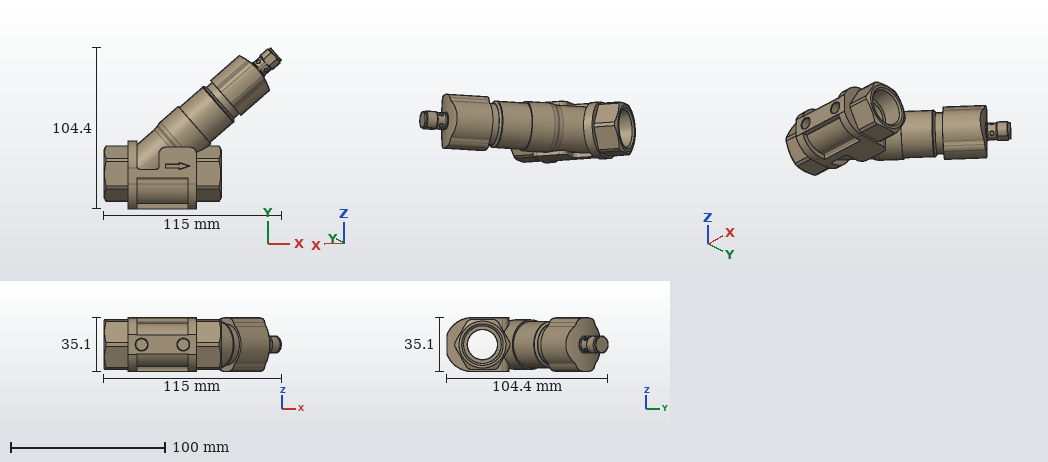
import cadquery as cq
import math


clearance = 1.1

length = 76.2
hex_flats = 32.2
hex_corner_radius = 17.9
hex_face_radius = 15.2
hex_chamfer = 1.5
bore_radius = 19.4 / 2
thread_radius = 12.2
thread_depth = 13.8
thread_mouth_radius = 13.5
thread_chamfer = 1.1

body_start = 15.6
body_end = 60.0
body_half_height = 35.1 / 2
body_bottom = -23.0
lower_round_y = -6.7
upper_round_y = 3.7
flange_end = 21.6
web_top = 2.9
plate_start = 35.8
plate_top = 17.1
plate_corner_radius = 4.3
pocket_corner_radius = 1.7

recess_end = 54.5
recess_top = -2.9
recess_radius = 14.0
recess_fillet = 1.0
foot_half_width = 6.2

mount_hole_x = (24.5, 51.5)
mount_hole_radius = 3.8
mount_hole_chamfer = 0.3
mount_hole_depth = 9.2

arrow_y = 5.0
arrow_tail_x = 39.9
arrow_neck_x = 48.9
arrow_tip_x = 55.9
arrow_shaft_half_width = 1.4
arrow_head_half_width = 2.3
arrow_depth = 0.7
arrow_wall_draft = 18

barrel_x = 22.8
barrel_angle = 41.1
neck_radius = 15.0
neck_start = 1.1
socket_radius = 16.1
flare_start = 26.3
flare_slope_start = 29.0
flare_slope_start_radius = 15.4
flare_slope_end = 29.8
flare_slope_end_radius = 15.6
flare_end = 32.4
socket_end = 47.8
sleeve_radius = 15.1
sleeve_end = 67.8
lip_radius = 15.2
lip_end = 68.4
lip_chamfer_end = 69.8
lip_chamfer_radius = 13.7
collar_radius = 26.8 / 2

cap_start = 74.6
cap_apex = 102.3
cap_radius = 15.0
cap_dome_radius = 36.8
lobe_radius = body_half_height
lobe_half_width = 4.8
lobe_side_half_width = 7.6
lobe_side_height = 14.4
lobe_foot_half_width = 9.1

plug_rim_radius = 6.1
plug_rim_end = 102.7
plug_neck_radius = 10.9 / 2
plug_neck_start = 103.3
plug_neck_end = 108.8
plug_head_start = 109.5
plug_head_end = 116.0
plug_tip_radius = 5.3
plug_tip_start = 116.6
plug_end = 117.7
plug_flats = 10.8
dimple_position = 106.0
dimple_radius = 1.4
dimple_depth = 0.5
dimple_angles = (45, 135, 225, 315)


def bar_along_x(radius, start, end):
    return cq.Workplane("YZ", origin=(start, 0, 0)).circle(radius).extrude(end - start)


def box(x_range, y_range, z_range):
    """Box filling the given (low, high) ranges."""
    sizes = [high - low for low, high in (x_range, y_range, z_range)]
    return cq.Workplane("XY", origin=(x_range[0], y_range[0], z_range[0])).box(*sizes, centered=False)


def revolve_about_x(profile):
    """Solid of revolution about X from (x, radius) points that start and end on the axis."""
    return cq.Workplane("XY").polyline(profile).close().revolve(360, (0, 0, 0), (1, 0, 0))


def hexagon_ends():
    corner_diameter = hex_flats / math.cos(math.pi / 6)
    bar = cq.Workplane("YZ").polygon(6, corner_diameter).extrude(length)
    envelope = revolve_about_x([
        (0, 0),
        (0, hex_face_radius),
        (hex_chamfer, hex_corner_radius),
        (length - hex_chamfer, hex_corner_radius),
        (length, hex_face_radius),
        (length, 0),
    ])
    inside_body = box((body_start, body_end), *[(-hex_flats, hex_flats)] * 2)
    return bar.intersect(envelope).cut(inside_body)


def lower_section(top):
    """Open body outline in YZ: flat sides from top down into a round, cut off at the bottom."""
    radius = body_half_height
    half_cut = math.sqrt(radius**2 - (lower_round_y - body_bottom) ** 2)
    diagonal = radius * math.sqrt(0.5)
    return (
        cq.Workplane("YZ", origin=(body_start, 0, 0))
        .moveTo(top, radius)
        .lineTo(lower_round_y, radius)
        .threePointArc((lower_round_y - diagonal, diagonal), (body_bottom, half_cut))
        .lineTo(body_bottom, -half_cut)
        .threePointArc((lower_round_y - diagonal, -diagonal), (lower_round_y, -radius))
        .lineTo(top, -radius)
    )


def body():
    section = lower_section(web_top)
    web = section.close().extrude(body_end - body_start)

    section = lower_section(upper_round_y)
    crown = (upper_round_y + body_half_height, 0)
    flange = section.threePointArc(crown, (upper_round_y, body_half_height)).close()
    flange = flange.extrude(flange_end - body_start)

    plate = box(
        (plate_start, body_end),
        (lower_round_y, plate_top),
        (-body_half_height, body_half_height),
    )
    plate = plate.edges("|Z and >Y").fillet(plate_corner_radius)

    solid = web.union(plate).union(flange)
    reach = body_half_height + clearance
    pocket_corners = cq.selectors.BoxSelector(
        (flange_end - clearance, web_top - clearance, -reach),
        (plate_start + clearance, web_top + clearance, reach),
    )
    return solid.edges("|Z").edges(pocket_corners).fillet(pocket_corner_radius)


def side_recesses():
    """Material to remove around the lower sides, outside a smaller round and the foot."""
    span = (flange_end, recess_end)
    reach = body_half_height + clearance
    around = box(span, (body_bottom - clearance, recess_top), (-reach, reach))
    kept = box(span, (lower_round_y, recess_top), (-recess_radius, recess_radius))
    kept = kept.union(bar_along_x(recess_radius, *span).translate((0, lower_round_y, 0)))
    foot_y = (body_bottom - clearance, lower_round_y)
    kept = kept.union(box(span, foot_y, (-foot_half_width, foot_half_width)))
    corner = (
        cq.Workplane("YZ", origin=(flange_end, 0, 0))
        .moveTo(recess_top, recess_radius)
        .lineTo(recess_top - recess_fillet, recess_radius)
        .radiusArc((recess_top, recess_radius + recess_fillet), -recess_fillet)
        .close()
        .extrude(recess_end - flange_end)
    )
    kept = kept.union(corner).union(corner.mirror("XY"))
    return around.cut(kept)


def mounting_holes():
    mouth_radius = mount_hole_radius + mount_hole_chamfer
    foot = cq.Workplane("XZ", origin=(0, body_bottom, 0)).pushPoints([(x, 0) for x in mount_hole_x])
    holes = foot.circle(mount_hole_radius).extrude(-mount_hole_depth)
    mouths = foot.circle(mouth_radius).extrude(-mount_hole_chamfer, taper=45)
    return holes.union(mouths)


def flow_arrow():
    half_outline = [
        (arrow_tail_x, arrow_shaft_half_width),
        (arrow_neck_x, arrow_shaft_half_width),
        (arrow_neck_x, arrow_head_half_width),
    ]
    mirrored = [(x, -y) for x, y in reversed(half_outline)]
    outline = half_outline + [(arrow_tip_x, 0)] + mirrored
    top = cq.Workplane("XY", origin=(0, arrow_y, body_half_height))
    return top.polyline(outline).close().extrude(-arrow_depth, taper=arrow_wall_draft)


def flow_bore():
    half = [
        (0, 0),
        (0, thread_mouth_radius),
        (thread_chamfer, thread_radius),
        (thread_depth, thread_radius),
        (thread_depth, bore_radius),
    ]
    other_half = [(length - x, radius) for x, radius in reversed(half)]
    return revolve_about_x(half + other_half)


def barrel():
    """Turned barrel along X, before it is leaned over."""
    return (
        cq.Workplane("XY")
        .moveTo(neck_start, 0)
        .lineTo(neck_start, neck_radius)
        .lineTo(flare_start, neck_radius)
        .tangentArcPoint((flare_slope_start, flare_slope_start_radius), relative=False)
        .lineTo(flare_slope_end, flare_slope_end_radius)
        .tangentArcPoint((flare_end, socket_radius), relative=False)
        .lineTo(socket_end, socket_radius)
        .lineTo(socket_end, sleeve_radius)
        .lineTo(sleeve_end, sleeve_radius)
        .lineTo(sleeve_end, lip_radius)
        .lineTo(lip_end, lip_radius)
        .lineTo(lip_chamfer_end, lip_chamfer_radius)
        .lineTo(lip_chamfer_end, collar_radius)
        .lineTo(cap_start, collar_radius)
        .lineTo(cap_start, 0)
        .close()
        .revolve(360, (0, 0, 0), (1, 0, 0))
    )


def grip_cap():
    """Round cap with a lobe on its +Z and -Z sides and a crowned end."""
    lobe_edge_height = math.sqrt(lobe_radius**2 - lobe_half_width**2)
    foot_height = math.sqrt(cap_radius**2 - lobe_foot_half_width**2)
    end_plane = cq.Workplane("YZ", origin=(cap_start, 0, 0))
    cap = end_plane.circle(cap_radius).extrude(cap_apex - cap_start)
    half_lobe = (
        end_plane.moveTo(0, lobe_radius)
        .radiusArc((lobe_half_width, lobe_edge_height), lobe_radius)
        .tangentArcPoint((lobe_side_half_width, lobe_side_height), relative=False)
        .tangentArcPoint((lobe_foot_half_width, foot_height), relative=False)
        .lineTo(0, foot_height)
        .close()
        .extrude(cap_apex - cap_start)
    )
    lobe = half_lobe.union(half_lobe.mirror("XZ"))
    cap = cap.union(lobe).union(lobe.mirror("XY"))
    crown = (
        cq.Workplane("XY", origin=(cap_apex - cap_dome_radius, 0, -lobe_radius))
        .circle(cap_dome_radius)
        .extrude(2 * lobe_radius)
    )
    return cap.intersect(crown)


def connector_plug():
    plug = revolve_about_x([
        (cap_start, 0),
        (cap_start, plug_rim_radius),
        (plug_rim_end, plug_rim_radius),
        (plug_neck_start, plug_neck_radius),
        (plug_neck_end, plug_neck_radius),
        (plug_head_start, plug_rim_radius),
        (plug_head_end, plug_rim_radius),
        (plug_tip_start, plug_tip_radius),
        (plug_end, plug_tip_radius),
        (plug_end, 0),
    ])
    flats = box(
        (cap_start, plug_end),
        (-plug_rim_radius, plug_rim_radius),
        (-plug_flats / 2, plug_flats / 2),
    )
    plug = plug.intersect(flats)
    for angle in dimple_angles:
        dimple = (
            cq.Workplane("XY", origin=(dimple_position, 0, plug_neck_radius - dimple_depth))
            .circle(dimple_radius)
            .extrude(plug_rim_radius)
        )
        plug = plug.cut(dimple.rotate((0, 0, 0), (1, 0, 0), angle))
    return plug


leaning_valve = (
    barrel()
    .union(grip_cap())
    .union(connector_plug())
    .rotate((0, 0, 0), (0, 0, 1), barrel_angle)
    .translate((barrel_x, 0, 0))
)

result = (
    body()
    .cut(side_recesses())
    .union(hexagon_ends())
    .union(leaning_valve)
    .cut(flow_bore())
    .cut(mounting_holes())
    .cut(flow_arrow())
)